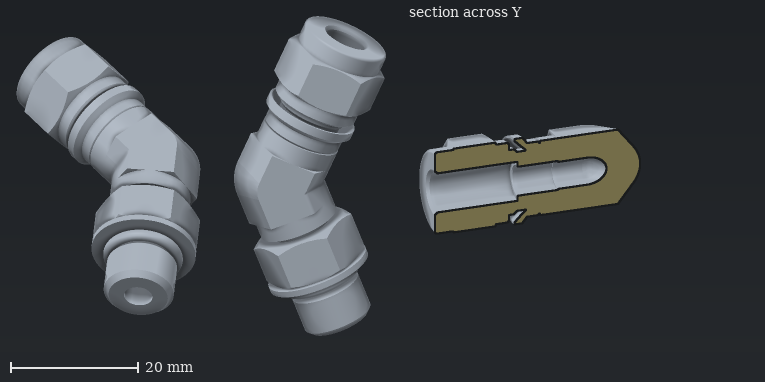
import cadquery as cq
import math

HEX_HALF_ANGLE = math.radians(30)
BEND_ANGLE = 45.0
NUT_FLATS = 14.2875
BODY_FLATS = 12.7
NUT_CHAMFER_ANGLE = 30.0
NECK_RADIUS = 11.11 / 2
OUTLET_ROOT_RADIUS = 9.35 / 2

INLET_LENGTH = 25.82
COLLAR_RADIUS = 13.9 / 2
COLLAR_FILLET = 0.5
NUT_HEX_START = 3.1
NUT_HEX_END = 10.45
NUT_SKIRT_RADIUS = 13.6 / 2
NUT_SKIRT_END = 12.6
NUT_SKIRT_CHAMFER = 0.3
FLANGE_START = 13.42
FLANGE_RADIUS = 14.6 / 2
FLANGE_THICKNESS = 1.4
RECESS_RADIUS = 13.9 / 2
RECESS_DEPTH = 2.0
UNDERCUT_RADIUS = 10.1 / 2
FLANGE_CONE_LENGTH = 0.83
SLEEVE_RADIUS = 12.6 / 2
SLEEVE_END = 17.8
SLEEVE_CHAMFER = 0.35
BODY_ROUND_RADIUS = BODY_FLATS / 2
BODY_HEX_START = 20.77
CREASE_FILLET = 0.7

TUBE_RADIUS = 6.55 / 2
TUBE_MOUTH_RADIUS = 7.5 / 2
TUBE_DEPTH = 14.0
THROAT_RADIUS = 4.83 / 2
THROAT_CHAMFER = 0.16

BODY_HEX_OUT_END = 5.28
BODY_ROUND_OUT_END = 7.93
OUTLET_NECK_RADIUS = 9.3 / 2
LOCKNUT_START = 8.93
WASHER_START = 15.88
WASHER_THICKNESS = 0.97
WASHER_RADIUS = 16.5 / 2
RING_SEAT_WIDTH = 1.73
RING_SECTION_RADIUS = 1.78 / 2
RING_OUTER_RADIUS = 12.6 / 2
THREAD_LENGTH = 5.39
THREAD_CHAMFER = NECK_RADIUS - OUTLET_ROOT_RADIUS
BORE_RADIUS = 4.5 / 2

FLAT_HALF = BODY_FLATS / 2
CORNER_Y = FLAT_HALF / math.cos(HEX_HALF_ANGLE)
EDGE_Y = CORNER_Y / 2


def turned(profile):
    """Solid of revolution about the X axis from (x, radius) points; closed along the axis."""
    first_x = profile[0][0]
    last_x = profile[-1][0]
    outline = [(first_x, 0)] + profile + [(last_x, 0)]
    return cq.Workplane("XY").polyline(outline).close().revolve(360, (0, 0, 0), (1, 0, 0))


def hex_bar(flats, start, end):
    """Hexagonal bar along X with two of its flats level (facing up and down)."""
    corners = flats / math.cos(HEX_HALF_ANGLE)
    return cq.Workplane("YZ").workplane(offset=start).polygon(6, corners).extrude(end - start)


def hex_nut(start, end, base_start, base_end):
    """Hex nut along X whose corners are cut by cones rising from the given base radii."""
    corner_radius = NUT_FLATS / 2 / math.cos(HEX_HALF_ANGLE)
    slope = math.tan(math.radians(NUT_CHAMFER_ANGLE))
    cone_limits = turned([
        (start, base_start),
        (start + (corner_radius - base_start) * slope, corner_radius),
        (end - (corner_radius - base_end) * slope, corner_radius),
        (end, base_end),
    ])
    return hex_bar(NUT_FLATS, start, end).intersect(cone_limits)


def on_outlet(leg):
    """Move a leg built along X from the origin onto the outlet axis."""
    return leg.rotate((0, 0, 0), (0, 0, 1), -BEND_ANGLE).translate((INLET_LENGTH, 0, 0))


def tube_nut():
    collar = turned([(0, COLLAR_RADIUS), (NUT_HEX_START, COLLAR_RADIUS)])
    collar = collar.faces("<X").edges().fillet(COLLAR_FILLET)
    skirt = turned([
        (NUT_HEX_START, NUT_SKIRT_RADIUS),
        (NUT_SKIRT_END - NUT_SKIRT_CHAMFER, NUT_SKIRT_RADIUS),
        (NUT_SKIRT_END, NUT_SKIRT_RADIUS - NUT_SKIRT_CHAMFER),
    ])
    hexagon = hex_nut(NUT_HEX_START, NUT_HEX_END, COLLAR_RADIUS, NUT_SKIRT_RADIUS)
    return collar.union(hexagon).union(skirt)


def inlet_sleeve():
    flange_end = FLANGE_START + FLANGE_THICKNESS
    recess_bottom = FLANGE_START + RECESS_DEPTH
    cone_end = flange_end + FLANGE_CONE_LENGTH
    return turned([
        (NUT_HEX_END, NECK_RADIUS),
        (FLANGE_START, NECK_RADIUS),
        (FLANGE_START + NECK_RADIUS - UNDERCUT_RADIUS, UNDERCUT_RADIUS),
        (recess_bottom, UNDERCUT_RADIUS),
        (FLANGE_START, RECESS_RADIUS),
        (FLANGE_START, FLANGE_RADIUS),
        (flange_end, FLANGE_RADIUS),
        (cone_end, SLEEVE_RADIUS),
        (SLEEVE_END - SLEEVE_CHAMFER, SLEEVE_RADIUS),
        (SLEEVE_END, SLEEVE_RADIUS - SLEEVE_CHAMFER),
        (SLEEVE_END, BODY_ROUND_RADIUS),
        (BODY_HEX_START, BODY_ROUND_RADIUS),
    ])


def body_bar(start, end):
    """Hex bar along X whose corner on the inside of the bend (-Y) is rounded off."""
    tangent_y = FLAT_HALF * math.cos(HEX_HALF_ANGLE)
    tangent_z = FLAT_HALF * math.sin(HEX_HALF_ANGLE)
    return (
        cq.Workplane("YZ")
        .workplane(offset=start)
        .moveTo(CORNER_Y, 0)
        .lineTo(EDGE_Y, FLAT_HALF)
        .lineTo(-EDGE_Y, FLAT_HALF)
        .lineTo(-tangent_y, tangent_z)
        .threePointArc((-FLAT_HALF, 0), (-tangent_y, -tangent_z))
        .lineTo(-EDGE_Y, -FLAT_HALF)
        .lineTo(EDGE_Y, -FLAT_HALF)
        .close()
        .extrude(end - start)
    )


def turned_through_bend(half_section):
    """Half section (y >= 0, drawn in the YZ plane) swung about Z through the bend angle."""
    swung = half_section.revolve(BEND_ANGLE, (0, 0, 0), (0, -1, 0))
    return swung.translate((INLET_LENGTH, 0, 0))


def body_bend():
    """Outside of the elbow: the outer half of the hex section swung through the bend."""
    outline = [(0, FLAT_HALF), (EDGE_Y, FLAT_HALF), (CORNER_Y, 0), (EDGE_Y, -FLAT_HALF), (0, -FLAT_HALF)]
    return turned_through_bend(cq.Workplane("YZ").polyline(outline).close())


def elbow_body():
    """Forged elbow with a small fillet along the crease on the inside of the bend."""
    round_end = cq.Workplane("YZ").workplane(offset=BODY_HEX_OUT_END).circle(BODY_ROUND_RADIUS)
    round_end = round_end.extrude(BODY_ROUND_OUT_END - BODY_HEX_OUT_END)
    outlet_leg = body_bar(0, BODY_HEX_OUT_END).union(round_end)
    body = body_bar(BODY_HEX_START, INLET_LENGTH).union(on_outlet(outlet_leg)).union(body_bend())
    crease_span = CORNER_Y * math.tan(math.radians(BEND_ANGLE / 2))
    inner_corner = (INLET_LENGTH - crease_span, -CORNER_Y, -FLAT_HALF)
    outer_corner = (INLET_LENGTH, -EDGE_Y, FLAT_HALF)
    crease_edges = cq.selectors.BoxSelector(inner_corner, outer_corner)
    return body.edges(crease_edges).fillet(CREASE_FILLET)


def outlet_stem():
    """Round parts of the outlet leg: neck, washer, ring seat and threaded end."""
    washer_end = WASHER_START + WASHER_THICKNESS
    seat_end = washer_end + RING_SEAT_WIDTH
    thread_start = seat_end + THREAD_CHAMFER
    thread_end = thread_start + THREAD_LENGTH
    return on_outlet(turned([
        (BODY_ROUND_OUT_END, OUTLET_NECK_RADIUS),
        (WASHER_START, OUTLET_NECK_RADIUS),
        (WASHER_START, WASHER_RADIUS),
        (washer_end, WASHER_RADIUS),
        (washer_end, OUTLET_ROOT_RADIUS),
        (seat_end, OUTLET_ROOT_RADIUS),
        (thread_start, NECK_RADIUS),
        (thread_end, NECK_RADIUS),
        (thread_end + THREAD_CHAMFER, OUTLET_ROOT_RADIUS),
    ]))


def seal_ring():
    """O-ring seated between the washer and the threaded end."""
    center_x = WASHER_START + WASHER_THICKNESS + RING_SECTION_RADIUS
    ring_radius = RING_OUTER_RADIUS - RING_SECTION_RADIUS
    section = cq.Workplane("XY").moveTo(center_x, ring_radius).circle(RING_SECTION_RADIUS)
    return on_outlet(section.revolve(360, (0, 0, 0), (1, 0, 0)))


def bores():
    """Tube socket, stepped throat and the through bore with a spherical turn at the elbow."""
    mouth_depth = TUBE_MOUTH_RADIUS - TUBE_RADIUS
    inlet = turned([
        (0, TUBE_MOUTH_RADIUS),
        (mouth_depth, TUBE_RADIUS),
        (TUBE_DEPTH, TUBE_RADIUS),
        (TUBE_DEPTH, THROAT_RADIUS + THROAT_CHAMFER),
        (TUBE_DEPTH + THROAT_CHAMFER, THROAT_RADIUS),
        (BODY_HEX_START, THROAT_RADIUS),
        (BODY_HEX_START, BORE_RADIUS),
        (INLET_LENGTH, BORE_RADIUS),
    ])
    past_outlet_end = 2 * (WASHER_START + THREAD_LENGTH)
    outlet = on_outlet(turned([(0, BORE_RADIUS), (past_outlet_end, BORE_RADIUS)]))
    half_disc = (
        cq.Workplane("YZ")
        .moveTo(0, BORE_RADIUS)
        .threePointArc((BORE_RADIUS, 0), (0, -BORE_RADIUS))
        .close()
    )
    turn = turned_through_bend(half_disc)
    return inlet.union(turn).union(outlet)


solid = tube_nut()
locknut = on_outlet(hex_nut(LOCKNUT_START, WASHER_START, NUT_FLATS / 2, NUT_FLATS / 2))
for piece in (inlet_sleeve(), elbow_body(), outlet_stem(), locknut, seal_ring()):
    solid = solid.union(piece, clean=False)

result = solid.cut(bores(), clean=False)